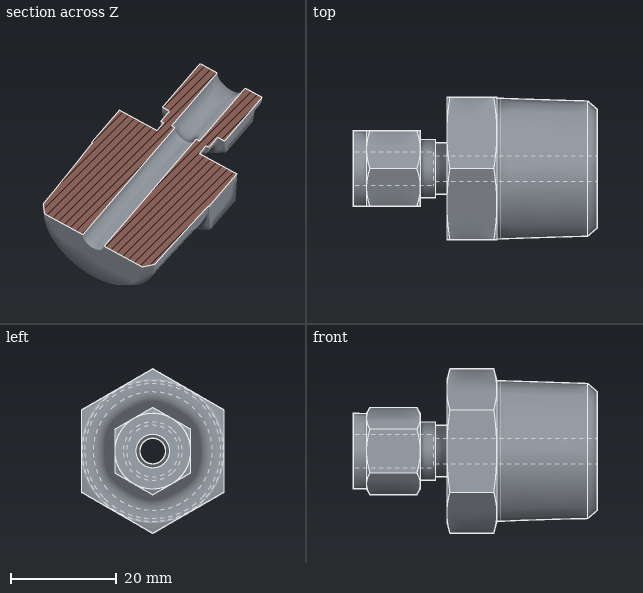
import cadquery as cq
import math


COLLAR_END = 2.55
NUT_END = 12.7
FERRULE_NECK_END = 15.6
BODY_NECK_END = 17.75
BODY_HEX_END = 27.2
TAPER_START = 27.85
TAPER_END = 44.35
PIPE_END = 46.2

NUT_FLATS = 14.35
NUT_CHAMFER_ANGLE = 30.0
BODY_FLATS = 27.0
BODY_CHAMFER_ANGLE = 15.0

COLLAR_DIAMETER = NUT_FLATS
FERRULE_NECK_DIAMETER = 11.1
BODY_NECK_DIAMETER = 9.8
PIPE_DIAMETER = 26.65
PIPE_TAPER = 1 / 16
PIPE_END_DIAMETER = 22.45

BORE_DIAMETER = 4.8
TUBE_SOCKET_DIAMETER = 6.35
TUBE_SOCKET_DEPTH = 15.25


def cylinder(start, end, diameter):
    return cq.Workplane("YZ", origin=(start, 0, 0)).circle(diameter / 2).extrude(end - start)


def turned(profile):
    """Revolve an (x, radius) outline about the X axis."""
    return cq.Workplane("XZ").polyline(profile).close().revolve(360, (0, 0, 0), (1, 0, 0))


def chamfered_hexagon(start, end, across_flats, chamfer_angle):
    """Hexagonal prism with corners up and down, its corners turned off at both faces."""
    flat_radius = across_flats / 2
    corner_radius = flat_radius / math.cos(math.pi / 6)
    chamfer_length = (corner_radius - flat_radius) * math.tan(math.radians(chamfer_angle))
    prism = (
        cq.Workplane("YZ", origin=(start, 0, 0))
        .polygon(6, 2 * corner_radius)
        .extrude(end - start)
        .rotate((0, 0, 0), (1, 0, 0), 90)
    )
    envelope = turned([
        (start, 0),
        (start, flat_radius),
        (start + chamfer_length, corner_radius),
        (end - chamfer_length, corner_radius),
        (end, flat_radius),
        (end, 0),
    ])
    return prism.intersect(envelope)


def tapered_pipe_end():
    """Short straight shank, tapered thread blank and end chamfer."""
    tapered_diameter = PIPE_DIAMETER - PIPE_TAPER * (TAPER_END - TAPER_START)
    return turned([
        (BODY_HEX_END, 0),
        (BODY_HEX_END, PIPE_DIAMETER / 2),
        (TAPER_START, PIPE_DIAMETER / 2),
        (TAPER_END, tapered_diameter / 2),
        (PIPE_END, PIPE_END_DIAMETER / 2),
        (PIPE_END, 0),
    ])


collar = cylinder(0, COLLAR_END, COLLAR_DIAMETER)
nut = chamfered_hexagon(COLLAR_END, NUT_END, NUT_FLATS, NUT_CHAMFER_ANGLE)
ferrule_neck = cylinder(NUT_END, FERRULE_NECK_END, FERRULE_NECK_DIAMETER)
body_neck = cylinder(FERRULE_NECK_END, BODY_NECK_END, BODY_NECK_DIAMETER)
body_hex = chamfered_hexagon(BODY_NECK_END, BODY_HEX_END, BODY_FLATS, BODY_CHAMFER_ANGLE)

bore = cylinder(0, PIPE_END, BORE_DIAMETER)
tube_socket = cylinder(0, TUBE_SOCKET_DEPTH, TUBE_SOCKET_DIAMETER)

result = (
    collar.union(nut)
    .union(ferrule_neck)
    .union(body_neck)
    .union(body_hex)
    .union(tapered_pipe_end())
    .cut(bore)
    .cut(tube_socket)
)